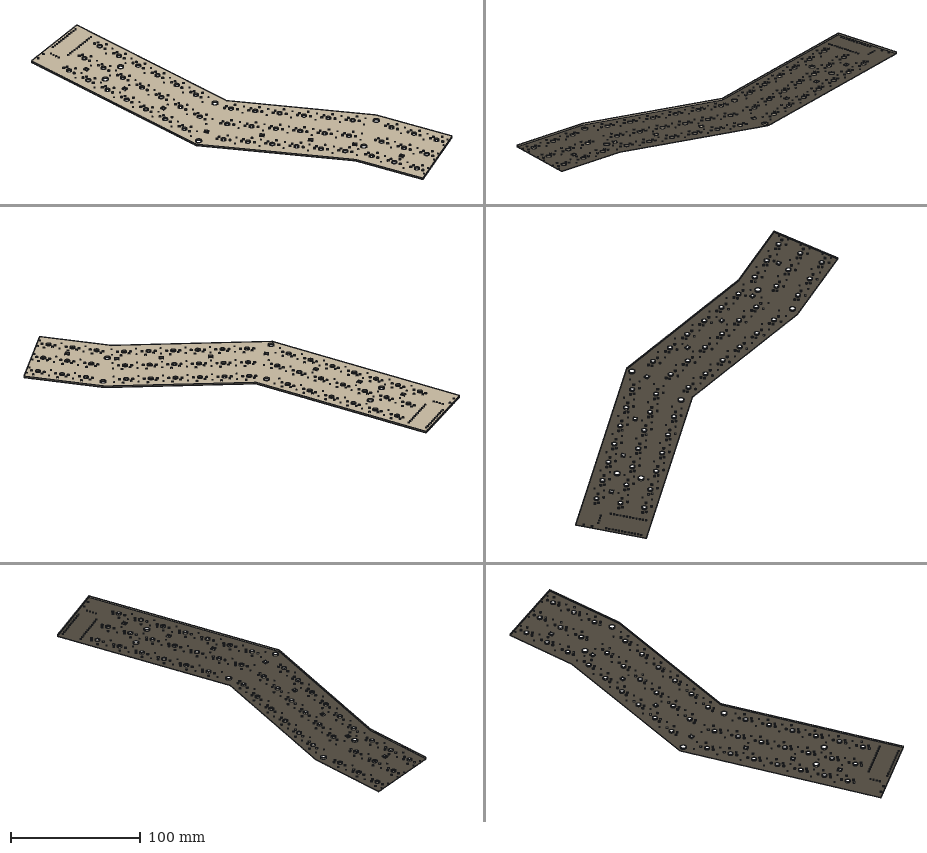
import cadquery as cq
import math

thickness = 1.6
board_length = 325.21
board_width = 131.08
pitch = 19.0
edge_margin = 9.09
middle_angle = 30.0
end_angle = 15.0

stem_diameter = 3.99
peg_diameter = 1.75
peg_offset = 5.08
pin_diameter = 1.47
pin_places = [(-3.81, 2.54), (2.54, 5.08)]

diode_diameter = 0.81
diode_span = 7.62
diode_x = pitch / 2
end_diode_x = 7.62

mount_diameter = 4.8
mount_places = [
    (58.16, 37.49),
    (58.37, 18.35),
    (142.67, 48.28),
    (161.62, 4.46),
    (253.07, 109.38),
    (265.23, 78.89),
]

window_length = 3.3
window_width = 3.0

pin_pitch = 2.54
controller_diameter = 1.1
controller_pins = 12
controller_left_x = 2.41
controller_row_gap = 15.24
controller_bottom_y = 23.59
display_diameter = 1.02
display_pins = 4
display_start = (6.27, 16.4)
reset_diameter = 1.3
reset_x = 2.0
reset_bottom_y = 5.9
reset_span = 6.5


def turned(place, angle):
    cosine = math.cos(math.radians(angle))
    sine = math.sin(math.radians(angle))
    x, y = place
    return (x * cosine - y * sine, x * sine + y * cosine)


def on_board(origin, angle, place):
    """Board position of a place given in the frame of a block or switch."""
    dx, dy = turned(place, angle)
    return (origin[0] + dx, origin[1] + dy)


block_rows = 3
rows_height = (block_rows - 1) * pitch
upper_edge = rows_height + edge_margin
end_columns = 3
end_edge = (end_columns - 1) * pitch + edge_margin

flat_origin = (29.87, edge_margin)
middle_origin = (175.52, 17.81)
end_origin = (
    board_length - turned((end_edge, -edge_margin), end_angle)[0],
    board_width - turned((end_edge, upper_edge), end_angle)[1],
)

blocks = [
    (flat_origin, 0.0, (7, 7, 6), -0.14),
    (middle_origin, middle_angle, (6, 6, 6), 0.12),
    (end_origin, end_angle, (end_columns,) * block_rows, 0.08),
]

window_y = pitch / 2
flat_windows = [(column * pitch + diode_x, window_y) for column in (0, 2, 4)]
middle_windows = [(column * pitch + diode_x, window_y) for column in (1, 3)]
windows = [(on_board(flat_origin, 0.0, place), 0.0) for place in flat_windows]
windows += [(on_board(middle_origin, middle_angle, place), middle_angle) for place in middle_windows]
windows += [
    ((159.15, 17.05), 22.5),
    ((258.25, 76.35), middle_angle),
    ((295.4, 87.87), end_angle),
]


def crossing(start, start_angle, finish, finish_angle):
    """Point where two lines meet, each given by a point and a direction."""
    start_slope = math.tan(math.radians(start_angle))
    finish_slope = math.tan(math.radians(finish_angle))
    rise = finish[1] - start[1] + start_slope * start[0] - finish_slope * finish[0]
    x = rise / (start_slope - finish_slope)
    return (x, start[1] + start_slope * (x - start[0]))


def outline():
    """Corners of the board; both long edges keep the same margin to the outer rows."""
    low = [on_board(origin, angle, (0, -edge_margin)) for origin, angle, _, _ in blocks]
    high = [on_board(origin, angle, (0, upper_edge)) for origin, angle, _, _ in blocks]
    return [
        (0, 0),
        crossing(low[0], 0, low[1], middle_angle),
        crossing(low[1], middle_angle, low[2], end_angle),
        on_board(end_origin, end_angle, (end_edge, -edge_margin)),
        on_board(end_origin, end_angle, (end_edge, upper_edge)),
        crossing(high[1], middle_angle, high[2], end_angle),
        crossing(high[0], 0, high[1], middle_angle),
        (0, high[0][1]),
    ]


def round_holes(centers, diameter):
    """Cylinders through the board thickness."""
    return cq.Workplane("XY").pushPoints(centers).circle(diameter / 2).extrude(thickness).vals()


def switch_holes(stem, angle, diode_offset, diode_shift):
    pegs = [(-peg_offset, 0), (peg_offset, 0)]
    diodes = [(diode_offset, diode_shift + side * diode_span / 2) for side in (-1, 1)]
    cutters = round_holes([stem], stem_diameter)
    for places, diameter in ((pegs, peg_diameter), (pin_places, pin_diameter), (diodes, diode_diameter)):
        cutters += round_holes([on_board(stem, angle, place) for place in places], diameter)
    return cutters


def block_holes(origin, angle, rows, diode_shift):
    cutters = []
    for row, columns in enumerate(rows):
        for column in range(columns):
            stem = on_board(origin, angle, (column * pitch, row * pitch))
            at_board_end = origin == end_origin and column == end_columns - 1
            diode_offset = end_diode_x if at_board_end else diode_x
            cutters += switch_holes(stem, angle, diode_offset, diode_shift)
    return cutters


def window(center, angle):
    box = cq.Workplane("XY").rect(window_length, window_width).extrude(thickness)
    return box.rotate((0, 0, 0), (0, 0, 1), angle).translate((center[0], center[1], 0)).val()


def electronics_holes():
    controller = [
        (controller_left_x + row * controller_row_gap, controller_bottom_y + pin * pin_pitch)
        for row in range(2)
        for pin in range(controller_pins)
    ]
    display = [(display_start[0] + pin * pin_pitch, display_start[1]) for pin in range(display_pins)]
    reset = [(reset_x, reset_bottom_y), (reset_x, reset_bottom_y + reset_span)]
    return (
        round_holes(controller, controller_diameter)
        + round_holes(display, display_diameter)
        + round_holes(reset, reset_diameter)
    )


cutters = round_holes(mount_places, mount_diameter) + electronics_holes()
for block in blocks:
    cutters += block_holes(*block)
for center, angle in windows:
    cutters.append(window(center, angle))

board = cq.Workplane("XY").polyline(outline()).close().extrude(thickness)
result = cq.Workplane(board.val().cut(*cutters))